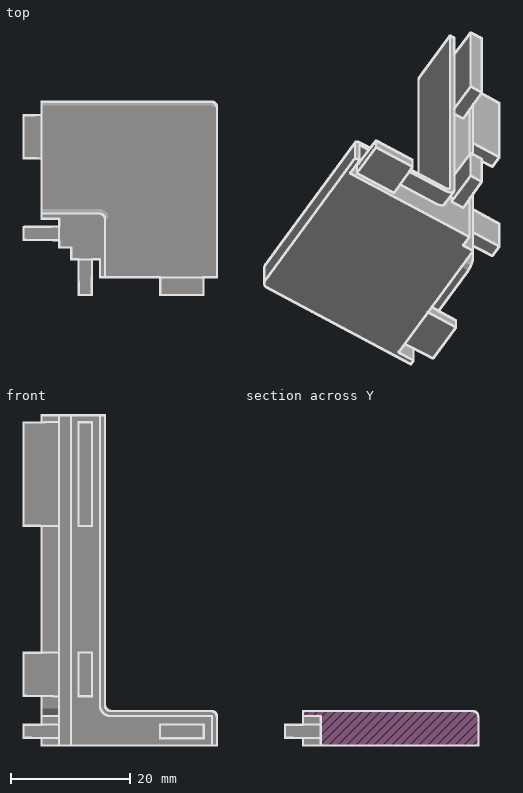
import cadquery as cq

height = 55.5
width = 32.5
tab_reach = 3.0
recess_depth = 3.0
skin = 0.9
base_height = 5.8
column_side = 13.7
edge_radius = 1.0
notch = 2.0

tab_thickness = 2.2
tab_draft = 0.05
column_tab_center = 10.4
base_tab_center_z = 2.4
base_tab_start = 23.0
short_tab_length = 7.25
long_tab_length = 17.35
lower_tab_bottom = 8.3
upper_tab_bottom = 36.9

body_start = tab_reach
core_start = body_start + recess_depth
inner_column_side = column_side - skin
inner_base_height = base_height - skin
inner_radius = edge_radius + skin


def box_between(low, high):
    """Axis-aligned box spanning two opposite corners."""
    size = [b - a for a, b in zip(low, high)]
    return cq.Workplane("XY").box(*size, centered=False).translate(low)


def swap_x_y(solid):
    """Mirror a solid across the vertical plane X = Y."""
    return solid.mirror("YZ").rotate((0, 0, 0), (0, 0, 1), -90)


def make_outer_body():
    """Square base and corner column with rounded outer and inner edges."""
    base = box_between((body_start, body_start, 0), (width, width, base_height))
    base = base.edges("|Z and >X and >Y").fillet(edge_radius)
    base = base.faces(">Z").edges(">X or >Y or (not (|X or |Y))").fillet(edge_radius)
    column = box_between((body_start, body_start, 0), (column_side, column_side, height))
    column = column.edges("|Z and >X and >Y").fillet(edge_radius)
    body = base.union(column)
    margin = edge_radius / 2
    foot = cq.selectors.BoxSelector(
        (body_start, body_start, base_height - margin),
        (column_side + margin, column_side + margin, base_height + margin),
    )
    foot_edges = [
        edge for edge in body.edges(foot).vals()
        if edge.BoundingBox().zlen < margin
        and max(edge.Center().x, edge.Center().y) > column_side - edge_radius
    ]
    return body.newObject(foot_edges).fillet(edge_radius)


def make_front_recess():
    """L-shaped pocket that leaves the skin standing proud of the core."""
    foot_z = inner_base_height + inner_radius
    return (
        cq.Workplane("XZ", origin=(0, core_start, 0))
        .moveTo(0, 0)
        .lineTo(width - skin, 0)
        .lineTo(width - skin, inner_base_height)
        .lineTo(inner_column_side + inner_radius, inner_base_height)
        .radiusArc((inner_column_side, foot_z), inner_radius)
        .lineTo(inner_column_side, height)
        .lineTo(0, height)
        .close()
        .extrude(core_start)
    )


def make_front_tab(center_x, center_z, size_x, size_z):
    """Tapered tab from the core face out to Y = 0."""
    return (
        cq.Workplane("XZ", origin=(center_x, core_start, center_z))
        .rect(size_x + 2 * tab_draft, size_z + 2 * tab_draft)
        .workplane(offset=core_start)
        .rect(size_x, size_z)
        .loft()
    )


recess = make_front_recess()
notch_end = core_start + notch
corner_notch = box_between((0, 0, 0), (notch_end, notch_end, height))

result = make_outer_body().cut(recess).cut(swap_x_y(recess)).cut(corner_notch)

front_tabs = [
    make_front_tab(base_tab_start + short_tab_length / 2, base_tab_center_z,
                   short_tab_length, tab_thickness),
    make_front_tab(column_tab_center, lower_tab_bottom + short_tab_length / 2,
                   tab_thickness, short_tab_length),
    make_front_tab(column_tab_center, upper_tab_bottom + long_tab_length / 2,
                   tab_thickness, long_tab_length),
]
for tab in front_tabs:
    result = result.union(tab).union(swap_x_y(tab))